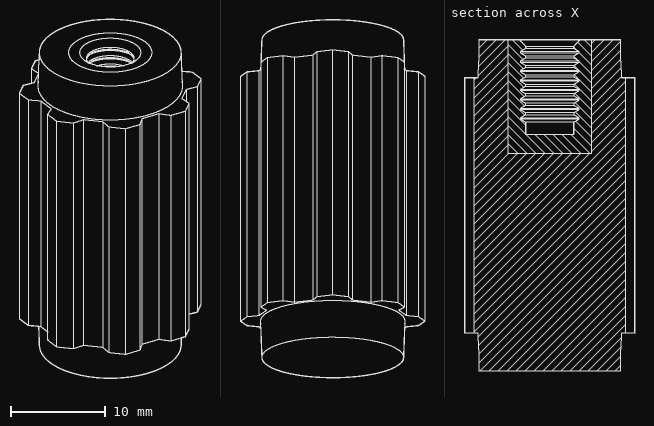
import cadquery as cq
import math

total_length = 35.0
grip_length = 27.0
collar_length = (total_length - grip_length) / 2
top_z = total_length / 2

side_count = 8
across_flats = 18.0
flute_depth = 1.0
flute_floor_width = 2.08
flute_mouth_width = 3.85

collar_end_radius = 7.5
collar_draft_angle = 2.0
collar_base_radius = collar_end_radius + collar_length * math.tan(math.radians(collar_draft_angle))

insert_diameter = 8.8
insert_length = 12.0
bore_diameter = 5.04
bore_depth = 10.0
countersink_diameter = 6.46
countersink_angle = 90.0
countersink_depth = (
    (countersink_diameter - bore_diameter) / 2 / math.tan(math.radians(countersink_angle / 2))
)

thread_root_diameter = 6.15
thread_pitch = 1.0
thread_angle = 60.0
thread_count = 8
thread_root_width = thread_pitch / 8
thread_depth = (thread_root_diameter - bore_diameter) / 2
thread_mouth_width = thread_root_width + 2 * thread_depth * math.tan(math.radians(thread_angle / 2))
thread_land_width = thread_pitch - thread_mouth_width
first_groove_z = top_z - countersink_depth - thread_land_width - thread_mouth_width / 2


def make_grip():
    """Octagonal prism with a flared flute along the middle of every side."""
    apothem = across_flats / 2
    corner_diameter = across_flats / math.cos(math.pi / side_count)
    side_step = 360 / side_count
    prism = (
        cq.Workplane("XY", origin=(0, 0, -grip_length / 2))
        .polygon(side_count, corner_diameter)
        .extrude(grip_length)
        .rotate((0, 0, 0), (0, 0, 1), side_step / 2)
    )
    flute = (
        cq.Workplane("XY", origin=(0, 0, -grip_length / 2))
        .moveTo(apothem - flute_depth, -flute_floor_width / 2)
        .lineTo(apothem, -flute_mouth_width / 2)
        .lineTo(apothem, flute_mouth_width / 2)
        .lineTo(apothem - flute_depth, flute_floor_width / 2)
        .close()
        .extrude(grip_length)
    )
    for side in range(side_count):
        prism = prism.cut(flute.rotate((0, 0, 0), (0, 0, 1), side * side_step))
    return prism


def make_collars():
    """Both drafted collars and the core joining them, turned as one profile."""
    return (
        cq.Workplane("XZ")
        .moveTo(0, -top_z)
        .lineTo(collar_end_radius, -top_z)
        .lineTo(collar_base_radius, -grip_length / 2)
        .lineTo(collar_base_radius, grip_length / 2)
        .lineTo(collar_end_radius, top_z)
        .lineTo(0, top_z)
        .close()
        .revolve(360, (0, 0), (0, 1))
    )


def make_insert_blank():
    """Plain cylinder that fills the recess in the housing."""
    return (
        cq.Workplane("XY", origin=(0, 0, top_z - insert_length))
        .circle(insert_diameter / 2)
        .extrude(insert_length)
    )


def make_thread_groove(middle_z):
    """Ring of trapezoidal section that cuts one thread turn into the bore."""
    return (
        cq.Workplane("XZ")
        .moveTo(0, middle_z - thread_mouth_width / 2)
        .lineTo(bore_diameter / 2, middle_z - thread_mouth_width / 2)
        .lineTo(thread_root_diameter / 2, middle_z - thread_root_width / 2)
        .lineTo(thread_root_diameter / 2, middle_z + thread_root_width / 2)
        .lineTo(bore_diameter / 2, middle_z + thread_mouth_width / 2)
        .lineTo(0, middle_z + thread_mouth_width / 2)
        .close()
        .revolve(360, (0, 0), (0, 1))
    )


def make_housing():
    """Fluted housing with a round recess for the insert in its top end."""
    return make_grip().union(make_collars()).cut(make_insert_blank())


def make_insert():
    """Blind bush with a countersunk, threaded bore."""
    bush = (
        make_insert_blank()
        .faces(">Z")
        .workplane()
        .cskHole(bore_diameter, countersink_diameter, countersink_angle, bore_depth)
    )
    for turn in range(thread_count):
        bush = bush.cut(make_thread_groove(first_groove_z - turn * thread_pitch))
    return bush


housing = make_housing()
insert = make_insert()
result = cq.Compound.makeCompound([housing.val(), insert.val()])